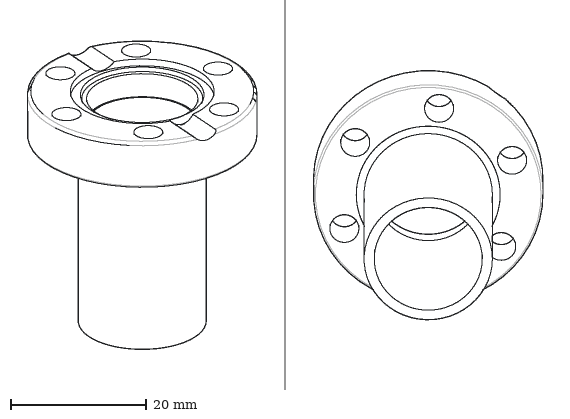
import cadquery as cq

TOTAL_HEIGHT = 38.0
FLANGE_DIAMETER = 34.0
FLANGE_THICKNESS = 7.5
TOP_FILLET = 0.5
BOTTOM_FILLET = 0.3

BOLT_COUNT = 6
BOLT_HOLE_DIAMETER = 4.3
BOLT_CIRCLE_DIAMETER = 27.0

GROOVE_WIDTH = 4.03
GROOVE_DEPTH = 1.0

INSERT_DIAMETER = 21.3
INSERT_BORE_DIAMETER = 16.5
KNIFE_TIP_DIAMETER = 18.3
KNIFE_ROOT_DIAMETER = 17.95
RECESS_DEPTH = 1.1
KNIFE_TIP_DEPTH = 0.57
INNER_FACE_DEPTH = 1.2

TUBE_DIAMETER = 19.0
TUBE_BORE_DIAMETER = 16.0
TUBE_TOP_DEPTH = 5.0

FLANGE_TOP = TOTAL_HEIGHT
FLANGE_BOTTOM = FLANGE_TOP - FLANGE_THICKNESS
TUBE_TOP = FLANGE_TOP - TUBE_TOP_DEPTH


def make_groove_cutter():
    """Cylinder along X whose lower part cuts the groove."""
    half_width = GROOVE_WIDTH / 2
    radius = (half_width**2 + GROOVE_DEPTH**2) / (2 * GROOVE_DEPTH)
    axis_height = FLANGE_TOP - GROOVE_DEPTH + radius
    return (
        cq.Workplane("YZ")
        .center(0, axis_height)
        .circle(radius)
        .extrude(FLANGE_DIAMETER, both=True)
    )


def make_flange():
    """Outer ring with rounded rims, bolt holes and the groove."""
    flange = cq.Workplane("XY", origin=(0, 0, FLANGE_BOTTOM))
    flange = flange.circle(FLANGE_DIAMETER / 2).extrude(FLANGE_THICKNESS)
    flange = flange.faces(">Z").edges().fillet(TOP_FILLET)
    flange = flange.faces("<Z").edges().fillet(BOTTOM_FILLET)
    flange = flange.faces(">Z").workplane().hole(INSERT_DIAMETER)
    flange = (
        flange.faces(">Z")
        .workplane()
        .polarArray(BOLT_CIRCLE_DIAMETER / 2, 90, 360, BOLT_COUNT)
        .hole(BOLT_HOLE_DIAMETER)
    )
    return flange.cut(make_groove_cutter())


def make_insert():
    """Ring inside the flange: sloped knife edge on top, tube socket below."""
    outer_radius = INSERT_DIAMETER / 2
    bore_radius = INSERT_BORE_DIAMETER / 2
    socket_radius = TUBE_DIAMETER / 2
    inner_face = FLANGE_TOP - INNER_FACE_DEPTH
    profile = [
        (socket_radius, FLANGE_BOTTOM),
        (outer_radius, FLANGE_BOTTOM),
        (outer_radius, FLANGE_TOP - RECESS_DEPTH),
        (KNIFE_TIP_DIAMETER / 2, FLANGE_TOP - KNIFE_TIP_DEPTH),
        (KNIFE_ROOT_DIAMETER / 2, inner_face),
        (bore_radius, inner_face),
        (bore_radius, TUBE_TOP),
        (socket_radius, TUBE_TOP),
    ]
    return cq.Workplane("XZ").polyline(profile).close().revolve(360, (0, 0), (0, 1))


def make_tube():
    """Plain tube seated in the socket of the insert."""
    return (
        cq.Workplane("XY")
        .circle(TUBE_DIAMETER / 2)
        .circle(TUBE_BORE_DIAMETER / 2)
        .extrude(TUBE_TOP)
    )


flange = make_flange()
insert = make_insert()
tube = make_tube()

result = cq.Compound.makeCompound([flange.val(), insert.val(), tube.val()])